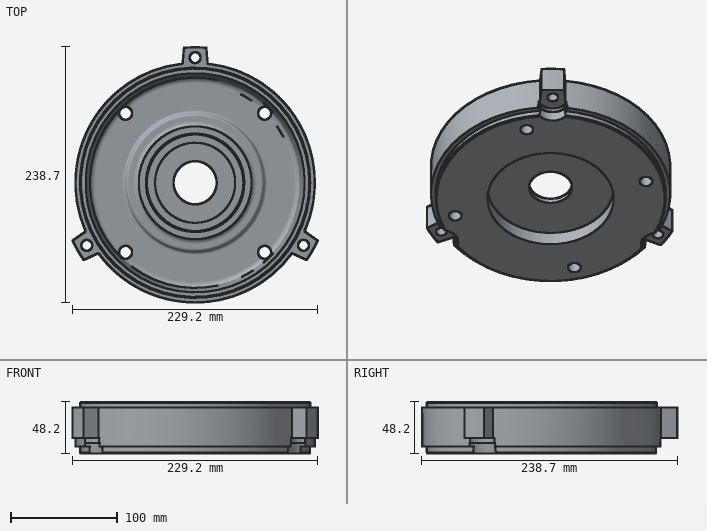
import cadquery as cq
import math

total_height = 48.2
shoulder_bottom = 6.7
shoulder_top = 43.2
ear_bottom = 14.5
floor_height = 16.5
pad_height = 22.2
bore_floor_height = 21.7
web_thickness = 5.7
bore_recess_depth = 0.7

band_radius = 112.0
spigot_radius = 107.5
rim_inner_radius = 102.3
floor_radius = 93.0
pad_radius = 64.6
boss_radius = 52.7
bore_radius = 45.0
bore_recess_radius = 37.5
center_hole_radius = 20.0

edge_chamfer = 1.0
wall_fillet = 5.2
wall_draft = math.radians(8.5)
boss_fillet = 4.8
pad_fillet = (pad_height - floor_height) / 2

ear_count = 3
ear_tip_radius = 126.7
ear_root_radius = 105.0
ear_tip_half_width = 10.5
ear_root_half_width = 12.5
ear_hole_offset = 117.0
ear_hole_radius = 5.0

relief_radius = 14.3
relief_flare_height = 10.0
relief_flare_top_radius = 14.8
relief_flare_bottom_radius = 16.0

floor_hole_count = 4
floor_hole_start_angle = 45
floor_hole_offset = 91.8
floor_hole_radius = 6.0

bore_recess_floor = bore_floor_height - bore_recess_depth
underside_recess_height = bore_recess_floor - web_thickness
underside_recess_radius = pad_radius - web_thickness


def turned_body():
    """Revolve the half section: rim, drafted wall, floor, pad, boss, bore and web."""
    diagonal = math.sqrt(0.5)
    fillet_center_height = floor_height + wall_fillet
    fillet_turn = math.pi / 2 - wall_draft
    wall_foot = (
        floor_radius + wall_fillet * math.sin(fillet_turn),
        fillet_center_height - wall_fillet * math.cos(fillet_turn),
    )
    wall_fillet_middle = (
        floor_radius + wall_fillet * math.sin(fillet_turn / 2),
        fillet_center_height - wall_fillet * math.cos(fillet_turn / 2),
    )
    pad_middle_height = floor_height + pad_fillet
    pad_foot_middle = (
        pad_radius + pad_fillet * (1 - diagonal),
        floor_height + pad_fillet * (1 - diagonal),
    )
    pad_edge_middle = (
        pad_radius - pad_fillet * (1 - diagonal),
        pad_height - pad_fillet * (1 - diagonal),
    )
    boss_fillet_middle = (
        boss_radius + boss_fillet * (1 - diagonal),
        pad_height + boss_fillet * (1 - diagonal),
    )
    section = (
        cq.Workplane("XZ")
        .moveTo(underside_recess_radius, 0)
        .lineTo(spigot_radius - edge_chamfer, 0)
        .lineTo(spigot_radius, edge_chamfer)
        .lineTo(spigot_radius, shoulder_bottom)
        .lineTo(band_radius, shoulder_bottom)
        .lineTo(band_radius, shoulder_top)
        .lineTo(spigot_radius, shoulder_top)
        .lineTo(spigot_radius, total_height - edge_chamfer)
        .lineTo(spigot_radius - edge_chamfer, total_height)
        .lineTo(rim_inner_radius, total_height)
        .lineTo(*wall_foot)
        .threePointArc(wall_fillet_middle, (floor_radius, floor_height))
        .lineTo(pad_radius + pad_fillet, floor_height)
        .threePointArc(pad_foot_middle, (pad_radius, pad_middle_height))
        .threePointArc(pad_edge_middle, (pad_radius - pad_fillet, pad_height))
        .lineTo(boss_radius + boss_fillet, pad_height)
        .threePointArc(boss_fillet_middle, (boss_radius, pad_height + boss_fillet))
        .lineTo(boss_radius, total_height)
        .lineTo(bore_radius + edge_chamfer, total_height)
        .lineTo(bore_radius, total_height - edge_chamfer)
        .lineTo(bore_radius, bore_floor_height)
        .lineTo(bore_recess_radius, bore_floor_height)
        .lineTo(bore_recess_radius, bore_recess_floor)
        .lineTo(center_hole_radius, bore_recess_floor)
        .lineTo(center_hole_radius, underside_recess_height)
        .lineTo(underside_recess_radius, underside_recess_height)
        .close()
    )
    return section.revolve(360, (0, 0, 0), (0, 1, 0))


def ear():
    """Tapered ear pointing along +Y with a rounded tip concentric with the body."""
    tip_y = math.sqrt(ear_tip_radius**2 - ear_tip_half_width**2)
    return (
        cq.Workplane("XY", origin=(0, 0, ear_bottom))
        .moveTo(-ear_root_half_width, ear_root_radius)
        .lineTo(-ear_tip_half_width, tip_y)
        .threePointArc((0, ear_tip_radius), (ear_tip_half_width, tip_y))
        .lineTo(ear_root_half_width, ear_root_radius)
        .close()
        .extrude(shoulder_top - ear_bottom)
    )


def ear_hole():
    return (
        cq.Workplane("XY", origin=(0, ear_hole_offset, ear_bottom))
        .circle(ear_hole_radius)
        .extrude(shoulder_top - ear_bottom)
    )


def ear_relief():
    """Round pocket below an ear, flaring out towards the bottom face."""
    half_section = (
        cq.Workplane("XZ", origin=(0, ear_hole_offset, 0))
        .moveTo(0, 0)
        .lineTo(relief_flare_bottom_radius, 0)
        .lineTo(relief_flare_top_radius, relief_flare_height)
        .lineTo(relief_radius, relief_flare_height)
        .lineTo(relief_radius, ear_bottom)
        .lineTo(0, ear_bottom)
        .close()
    )
    return half_section.revolve(360, (0, 0, 0), (0, 1, 0))


def floor_holes():
    return (
        cq.Workplane("XY")
        .polarArray(floor_hole_offset, floor_hole_start_angle, 360, floor_hole_count)
        .circle(floor_hole_radius)
        .extrude(total_height)
    )


def around_axis(shape, angle):
    return shape.rotate((0, 0, 0), (0, 0, 1), angle)


result = turned_body().cut(floor_holes())
for index in range(ear_count):
    ear_angle = index * 360 / ear_count
    result = result.cut(around_axis(ear_relief(), ear_angle))
    result = result.union(around_axis(ear(), ear_angle))
    result = result.cut(around_axis(ear_hole(), ear_angle))